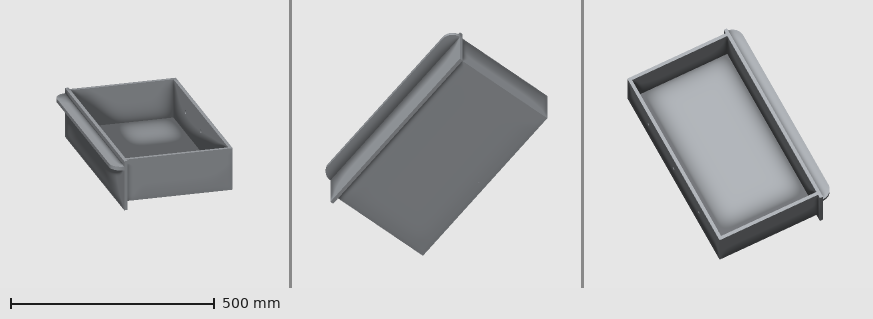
import cadquery as cq

panel_width = 516.0
overall_depth = 310.0
panel_height = 129.0

board_thickness = 9.0
handle_reach = 30.0
handle_thickness = 10.0
handle_drop = 14.0
panel_overhang = 10.5
box_height = 109.5

back_hole_diameter = 10.0
back_hole_spacing = 135.0
back_hole_count = 3
back_hole_drop = 47.5
floor_hole_diameter = 2.5
floor_hole_inset = 19.5

panel_back = handle_reach + board_thickness
box_width = panel_width - 2 * panel_overhang
box_depth = overall_depth - panel_back
box_bottom = panel_height - box_height


def block(width, depth, height, front, bottom):
    """Block centred on X, starting at the given front Y and bottom Z."""
    return (
        cq.Workplane("XY")
        .box(width, depth, height, centered=(True, False, False))
        .translate((0, front, bottom))
    )


def make_box():
    """Open-topped tray whose front is closed by the panel."""
    outside = block(box_width, box_depth, box_height, panel_back, box_bottom)
    cavity = block(
        box_width - 2 * board_thickness,
        box_depth - board_thickness,
        box_height - board_thickness,
        panel_back,
        box_bottom + board_thickness,
    )
    return outside.cut(cavity)


def make_handle():
    """Full-width ledge with its front corners rounded over its whole reach."""
    left = -panel_width / 2
    right = panel_width / 2
    return (
        cq.Workplane("XY")
        .workplane(offset=panel_height - handle_drop - handle_thickness)
        .moveTo(left, handle_reach)
        .radiusArc((left + handle_reach, 0), -handle_reach)
        .lineTo(right - handle_reach, 0)
        .radiusArc((right, handle_reach), -handle_reach)
        .close()
        .extrude(handle_thickness)
    )


def make_back_holes():
    """Row of cylinders crossing the back wall."""
    return (
        cq.Workplane("XZ", origin=(0, overall_depth, panel_height - back_hole_drop))
        .rarray(back_hole_spacing, 5, back_hole_count, 1)
        .circle(back_hole_diameter / 2)
        .extrude(board_thickness)
    )


def make_floor_hole():
    """Small cylinder crossing the floor near the back wall."""
    return (
        cq.Workplane("XY", origin=(0, overall_depth - floor_hole_inset, box_bottom))
        .circle(floor_hole_diameter / 2)
        .extrude(board_thickness)
    )


panel = block(panel_width, board_thickness, panel_height, handle_reach, 0)
drawer = make_box().union(panel).union(make_handle())
result = drawer.cut(make_back_holes()).cut(make_floor_hole())